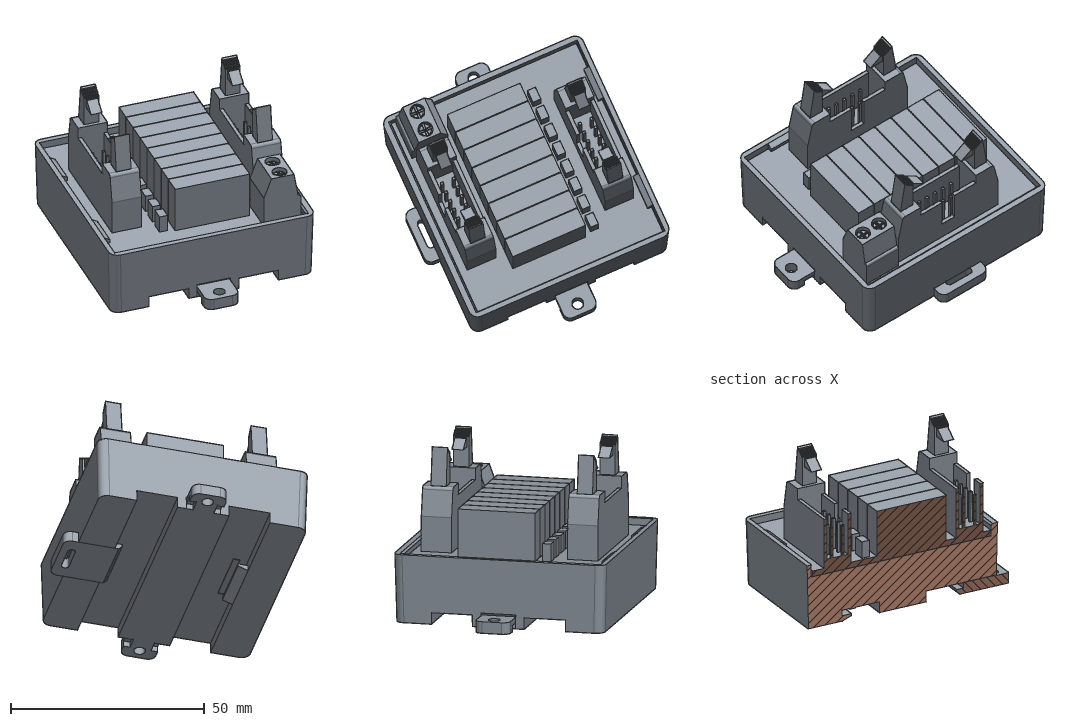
import cadquery as cq
import math

RIM_LENGTH = 58.3
RIM_WIDTH = 56.3
HOUSING_HEIGHT = 18.05
DRAFT_INSET = 0.4
CORNER_RADIUS = 2.4

BOARD_TOP = 16.25
BOARD_THICKNESS = 1.6
TRAY_LENGTH = 55.4
TRAY_REAR = 26.05
TRAY_FRONT = -26.8
BOARD_GAP = 0.3
REAR_BEVEL_RUN = 0.5
REAR_BEVEL_DROP = 0.5

SNAP_LENGTH = 9.2
SNAP_X = 15.6
SNAP_DEPTH = 1.5
SNAP_DROP = 0.85

OVERALL_LENGTH = 71.6
LUG_WIDTH = 9.2
LUG_Y = 0.15
LUG_HEIGHT = 3.1
LUG_RADIUS = 2.0
LUG_HOLE_DIAMETER = 3.0
LUG_HOLE_X = 32.9
LUG_RELIEF_X = 32.0
RELIEF_HEIGHT = 1.65
RELIEF_DEPTH = 1.8
LUG_UNDERCUT = 0.65

CHANNEL_HEIGHT = LUG_HEIGHT
REAR_CHANNEL = (7.1, 18.0)
FRONT_CHANNEL = (-17.7, -6.7)
CHANNEL_PAD = (-15.5, -13.75)
CHANNEL_PAD_HEIGHT = 0.2

HOOK_HEIGHT = 1.65
HOOK_TIP_BOTTOM = 1.0
FRONT_HOOK_REACH = 2.7
REAR_HOOK_REACH = 2.0
REAR_HOOK_CHAMFER = 1.0

SLIDER_WIDTH = 15.05
SLIDER_REAR = 31.35
SLIDER_HEIGHT = LUG_HEIGHT
SLIDER_RADIUS = LUG_RADIUS
SLOT_LENGTH = 7.95
SLOT_WIDTH = 2.0
SLOT_REAR = 29.35

ROW_COUNT = 8
ROW_LENGTH = 41.4
ROW_CENTER_X = 0.15
RELAY_WIDTH = 5.0
ROW_PITCH = (ROW_LENGTH - RELAY_WIDTH) / (ROW_COUNT - 1)
RELAY_DEPTH = 20.55
RELAY_Y = 2.7
RELAY_TOP = 29.0
INDICATOR_WIDTH = 3.45
INDICATOR_DEPTH = 2.2
INDICATOR_Y = -10.45
INDICATOR_TOP = 20.9

HEADER_YS = (19.8, -19.1)
HEADER_DEPTH = 8.1
HEADER_HALF_LENGTH = 16.1
HEADER_SHOULDER = 25.55
HEADER_TOP = 33.2
HEADER_TOP_HALF_LENGTH = 14.6
HEADER_EDGE_RADIUS = 1.0
CAVITY_HALF_LENGTH = 8.9
CAVITY_FLOOR = 18.7
WALL_TOP = 30.15
WALL_THICKNESS = 1.0
KEY_SLOT_WIDTH = 4.0
KEY_SLOT_FLOOR = 21.5
PIN_COLUMNS = 5
PIN_ROW_LENGTH = 10.2
PIN_PITCH = PIN_ROW_LENGTH / (PIN_COLUMNS - 1)
PIN_ROW_SPACING = 3.3
PIN_SIZE = 0.7
PIN_TOP = 27.2

LEVER_WIDTH = 4.1
LEVER_FOOT_X = 13.9
LEVER_PEAK_X = 12.5
LEVER_INNER_X = 9.9
LEVER_TOP = 43.25
BARB_WIDTH = 3.0
BARB_TIP_X = 6.0
BARB_BOTTOM = 38.5
TOOTH_COUNT = 10
TOOTH_DEPTH = 0.35
TEETH_START_X = 12.0
TEETH_END_X = 9.3
TOOTH_PITCH = (TEETH_START_X - TEETH_END_X) / TOOTH_COUNT

TERMINAL_LEFT = 16.75
TERMINAL_RIGHT = 27.0
TERMINAL_REAR = 24.8
TERMINAL_STEP_TOP = 23.85
TERMINAL_STEP_RADIUS = 0.7
TERMINAL_TOP_REAR = 22.9
TERMINAL_TOP_FRONT = 16.7
TERMINAL_FRONT = 14.6
TERMINAL_TOP = 30.4
TERMINAL_SHOULDER = 24.9
SCREW_XS = (19.3, 24.5)
SCREW_Y = 19.8
SCREW_DIAMETER = 3.8
SCREW_RECESS = 1.6
SCREW_HEAD_HEIGHT = 0.7
SCREW_CHAMFER = 0.395
SCREW_SLOT_WIDTH = 0.6


def block(x0, x1, y0, y1, z0, z1):
    """Box between two opposite corners."""
    return cq.Workplane("XY").box(x1 - x0, y1 - y0, z1 - z0, centered=False).translate((x0, y0, z0))


def bar_along_x(points, x0, x1):
    """Prism along X from an outline of (y, z) points."""
    return cq.Workplane("YZ").polyline(points).close().extrude(x1 - x0).translate((x0, 0, 0))


def bar_along_y(points, y_center, width):
    """Prism along Y from an outline of (x, z) points."""
    return cq.Workplane("XZ").polyline(points).close().extrude(width / 2, both=True).translate((0, y_center, 0))


def drafted_shell():
    """Rounded block that widens steadily from foot to rim."""
    foot = cq.Sketch().rect(RIM_LENGTH - 2 * DRAFT_INSET, RIM_WIDTH - 2 * DRAFT_INSET)
    rim = cq.Sketch().rect(RIM_LENGTH, RIM_WIDTH)
    return (
        cq.Workplane("XY")
        .placeSketch(
            foot.vertices().fillet(CORNER_RADIUS),
            rim.vertices().fillet(CORNER_RADIUS).moved(cq.Location(cq.Vector(0, 0, HOUSING_HEIGHT))),
        )
        .loft()
    )


def tray():
    """Board pocket with a bevel along the top of its rear wall."""
    outline = [
        (TRAY_FRONT, BOARD_TOP - BOARD_THICKNESS),
        (TRAY_REAR, BOARD_TOP - BOARD_THICKNESS),
        (TRAY_REAR, HOUSING_HEIGHT - REAR_BEVEL_DROP),
        (TRAY_REAR + REAR_BEVEL_RUN, HOUSING_HEIGHT),
        (TRAY_FRONT, HOUSING_HEIGHT),
    ]
    return bar_along_x(outline, -TRAY_LENGTH / 2, TRAY_LENGTH / 2)


def snap(x_center):
    """Ramp that leans over the front edge of the board."""
    inner = TRAY_FRONT + SNAP_DEPTH
    outline = [
        (TRAY_FRONT, BOARD_TOP),
        (inner, BOARD_TOP),
        (inner, HOUSING_HEIGHT - SNAP_DROP),
        (TRAY_FRONT, HOUSING_HEIGHT),
    ]
    return bar_along_x(outline, x_center - SNAP_LENGTH / 2, x_center + SNAP_LENGTH / 2)


def lugs():
    """Left and right lugs as one rounded bar through the foot of the housing."""
    return (
        cq.Workplane("XY")
        .center(0, LUG_Y)
        .rect(OVERALL_LENGTH, LUG_WIDTH)
        .extrude(LUG_HEIGHT)
        .edges("|Z")
        .fillet(LUG_RADIUS)
        .faces(">Z")
        .workplane(origin=(0, LUG_Y, 0))
        .pushPoints([(-LUG_HOLE_X, 0), (LUG_HOLE_X, 0)])
        .hole(LUG_HOLE_DIAMETER)
    )


def lug_relief():
    """Recesses along both lower edges of the left lug, next to the housing wall."""
    wall_x = RIM_LENGTH / 2 - DRAFT_INSET
    half = LUG_WIDTH / 2
    outer_bar = block(-LUG_RELIEF_X, -wall_x, LUG_Y - half, LUG_Y + half, 0, RELIEF_HEIGHT)
    inner = half - RELIEF_DEPTH
    core = block(-LUG_RELIEF_X, -wall_x, LUG_Y - inner, LUG_Y + inner, 0, RELIEF_HEIGHT)
    return outer_bar.cut(core)


def lug_undercut():
    """Sloped notch in the left housing wall just above the lug."""
    wall_x = RIM_LENGTH / 2
    depth = DRAFT_INSET + LUG_UNDERCUT
    outline = [
        (-wall_x, LUG_HEIGHT),
        (-wall_x + depth, LUG_HEIGHT),
        (-wall_x + DRAFT_INSET, LUG_HEIGHT + LUG_UNDERCUT),
        (-wall_x, LUG_HEIGHT + LUG_UNDERCUT),
    ]
    return bar_along_y(outline, LUG_Y, LUG_WIDTH)


def front_hook():
    """Fixed hook along the front edge of the front channel."""
    wall_y = FRONT_CHANNEL[0]
    outline = [
        (wall_y, 0),
        (wall_y + FRONT_HOOK_REACH, HOOK_TIP_BOTTOM),
        (wall_y + FRONT_HOOK_REACH, HOOK_HEIGHT),
        (wall_y, HOOK_HEIGHT),
    ]
    return bar_along_x(outline, -SLIDER_WIDTH / 2, SLIDER_WIDTH / 2)


def channel_pad():
    """Thin raised strip on the roof of the front channel, as long as the hook."""
    half = SLIDER_WIDTH / 2
    return block(-half, half, *CHANNEL_PAD, CHANNEL_HEIGHT - CHANNEL_PAD_HEIGHT, CHANNEL_HEIGHT)


def slider_recess():
    """Pocket in the underside that the slider fills."""
    half = SLIDER_WIDTH / 2
    return block(-half, half, REAR_CHANNEL[1], RIM_WIDTH / 2, 0, SLIDER_HEIGHT)


def make_housing():
    """Shell with its tray, snaps, lugs, rail channels and slider recess."""
    body = drafted_shell().cut(tray())
    for x_center in (-SNAP_X, SNAP_X):
        body = body.union(snap(x_center))
    body = body.union(lugs())
    for relief in (lug_relief(), lug_undercut()):
        body = body.cut(relief).cut(relief.mirror("YZ"))
    for y0, y1 in (REAR_CHANNEL, FRONT_CHANNEL):
        body = body.cut(block(-RIM_LENGTH / 2, RIM_LENGTH / 2, y0, y1, 0, CHANNEL_HEIGHT))
    return body.union(front_hook()).union(channel_pad()).cut(slider_recess())


def make_slider():
    """Plate with a tool slot at the rear and a chamfered hook into the rear channel."""
    half = SLIDER_WIDTH / 2
    wall_y = REAR_CHANNEL[1]
    plate = block(-half, half, wall_y, SLIDER_REAR, 0, SLIDER_HEIGHT)
    plate = plate.edges("|Z and >Y").fillet(SLIDER_RADIUS)
    slot = (
        cq.Workplane("XY")
        .center(0, SLOT_REAR - SLOT_WIDTH / 2)
        .slot2D(SLOT_LENGTH, SLOT_WIDTH)
        .extrude(SLIDER_HEIGHT)
    )
    tip_y = wall_y - REAR_HOOK_REACH
    hook_outline = [
        (wall_y, 0),
        (tip_y + REAR_HOOK_CHAMFER, 0),
        (tip_y, REAR_HOOK_CHAMFER),
        (tip_y, HOOK_HEIGHT),
        (wall_y, HOOK_HEIGHT),
    ]
    return plate.cut(slot).union(bar_along_x(hook_outline, -half, half))


def board_plate():
    """Flat board resting on the floor of the tray."""
    half = TRAY_LENGTH / 2 - BOARD_GAP
    return block(-half, half, TRAY_FRONT + BOARD_GAP, TRAY_REAR, BOARD_TOP - BOARD_THICKNESS, BOARD_TOP)


def board_row(width, depth, y_center, top):
    """Evenly pitched row of rectangular components."""
    height = top - BOARD_TOP
    return (
        cq.Workplane("XY", origin=(ROW_CENTER_X, y_center, BOARD_TOP + height / 2))
        .rarray(ROW_PITCH, 0.7, ROW_COUNT, 1)
        .box(width, depth, height)
    )


def header_shell():
    """Connector shroud with an open cavity and a key slot in its rear wall."""
    outline = [
        (-HEADER_HALF_LENGTH, BOARD_TOP),
        (-HEADER_HALF_LENGTH, HEADER_SHOULDER),
        (-HEADER_TOP_HALF_LENGTH, HEADER_TOP),
        (HEADER_TOP_HALF_LENGTH, HEADER_TOP),
        (HEADER_HALF_LENGTH, HEADER_SHOULDER),
        (HEADER_HALF_LENGTH, BOARD_TOP),
    ]
    shell = bar_along_y(outline, 0, HEADER_DEPTH)
    shell = shell.faces(">Z").edges("|Y").fillet(HEADER_EDGE_RADIUS)
    half_depth = HEADER_DEPTH / 2
    inner = half_depth - WALL_THICKNESS
    key = KEY_SLOT_WIDTH / 2
    length = CAVITY_HALF_LENGTH
    shell = shell.cut(block(-length, length, -half_depth, half_depth, WALL_TOP, HEADER_TOP))
    shell = shell.cut(block(-length, length, -inner, inner, CAVITY_FLOOR, WALL_TOP))
    return shell.cut(block(-key, key, inner, half_depth, KEY_SLOT_FLOOR, WALL_TOP))


def header_pins():
    """Two rows of square contact pins standing in the cavity."""
    height = PIN_TOP - CAVITY_FLOOR
    return (
        cq.Workplane("XY", origin=(0, 0, CAVITY_FLOOR + height / 2))
        .rarray(PIN_PITCH, PIN_ROW_SPACING, PIN_COLUMNS, 2)
        .box(PIN_SIZE, PIN_SIZE, height)
    )


def slope_height(x):
    """Height of the lever's sloping top at distance x from the header's middle."""
    fraction = (x - BARB_TIP_X) / (LEVER_PEAK_X - BARB_TIP_X)
    return BARB_BOTTOM + fraction * (LEVER_TOP - BARB_BOTTOM)


def tooth_notch(x):
    """Sawtooth notch whose steep side stands at distance x from the header's middle."""
    end_x = x - TOOTH_PITCH
    top = slope_height(x)
    return bar_along_y([(-x, top), (-x, top - TOOTH_DEPTH), (-end_x, slope_height(end_x))], 0, LEVER_WIDTH)


def lever():
    """Left-hand ejector lever: tapered post and a narrower barb, serrated along the top."""
    post_outline = [
        (-LEVER_INNER_X, HEADER_TOP),
        (-LEVER_FOOT_X, HEADER_TOP),
        (-LEVER_PEAK_X, LEVER_TOP),
        (-LEVER_INNER_X, slope_height(LEVER_INNER_X)),
    ]
    barb_outline = [
        (-LEVER_INNER_X, BARB_BOTTOM),
        (-BARB_TIP_X, BARB_BOTTOM),
        (-LEVER_INNER_X, slope_height(LEVER_INNER_X)),
    ]
    body = bar_along_y(post_outline, 0, LEVER_WIDTH).union(bar_along_y(barb_outline, 0, BARB_WIDTH))
    for tooth in range(TOOTH_COUNT):
        body = body.cut(tooth_notch(TEETH_START_X - tooth * TOOTH_PITCH))
    return body


def header():
    """One connector centred on the origin, with a lever at each end."""
    left_lever = lever()
    return header_shell().union(header_pins()).union(left_lever).union(left_lever.mirror("YZ"))


def screw(x):
    """Cross-slotted screw head whose slots deepen toward its middle."""
    floor = TERMINAL_TOP - SCREW_RECESS
    top = floor + SCREW_HEAD_HEIGHT
    radius = SCREW_DIAMETER / 2
    head = cq.Workplane("XY").circle(radius).extrude(SCREW_HEAD_HEIGHT).faces(">Z").chamfer(SCREW_CHAMFER)
    head = head.translate((0, 0, floor))
    slot_outline = [
        (-radius, top),
        (-radius, top - SCREW_CHAMFER),
        (0, floor),
        (radius, top - SCREW_CHAMFER),
        (radius, top),
    ]
    slot = bar_along_y(slot_outline, 0, SCREW_SLOT_WIDTH)
    crossing_slot = slot.rotate((0, 0, 0), (0, 0, 1), 90)
    return head.cut(slot).cut(crossing_slot).translate((x, SCREW_Y, 0))


def terminal():
    """Block with a stepped rear, a sloping front and two recessed screws."""
    bend = TERMINAL_STEP_RADIUS * math.sqrt(0.5)
    arc_center = (TERMINAL_REAR - TERMINAL_STEP_RADIUS, TERMINAL_STEP_TOP - TERMINAL_STEP_RADIUS)
    body = (
        cq.Workplane("YZ")
        .moveTo(TERMINAL_FRONT, BOARD_TOP)
        .lineTo(TERMINAL_REAR, BOARD_TOP)
        .lineTo(TERMINAL_REAR, arc_center[1])
        .threePointArc((arc_center[0] + bend, arc_center[1] + bend), (arc_center[0], TERMINAL_STEP_TOP))
        .lineTo(TERMINAL_TOP_REAR, TERMINAL_TOP)
        .lineTo(TERMINAL_TOP_FRONT, TERMINAL_TOP)
        .lineTo(TERMINAL_FRONT, TERMINAL_SHOULDER)
        .close()
        .extrude(TERMINAL_RIGHT - TERMINAL_LEFT)
        .translate((TERMINAL_LEFT, 0, 0))
    )
    recesses = (
        cq.Workplane("XY", origin=(0, SCREW_Y, TERMINAL_TOP))
        .pushPoints([(x, 0) for x in SCREW_XS])
        .circle(SCREW_DIAMETER / 2)
        .extrude(-SCREW_RECESS)
    )
    body = body.cut(recesses)
    for x in SCREW_XS:
        body = body.union(screw(x))
    return body


def make_board():
    """Board with all its components as one solid."""
    board = board_plate()
    board = board.union(board_row(RELAY_WIDTH, RELAY_DEPTH, RELAY_Y, RELAY_TOP))
    board = board.union(board_row(INDICATOR_WIDTH, INDICATOR_DEPTH, INDICATOR_Y, INDICATOR_TOP))
    for y in HEADER_YS:
        board = board.union(header().translate((0, y, 0)))
    return board.union(terminal())


housing = make_housing()
slider = make_slider()
board = make_board()

result = cq.Compound.makeCompound([housing.val(), slider.val(), board.val()])